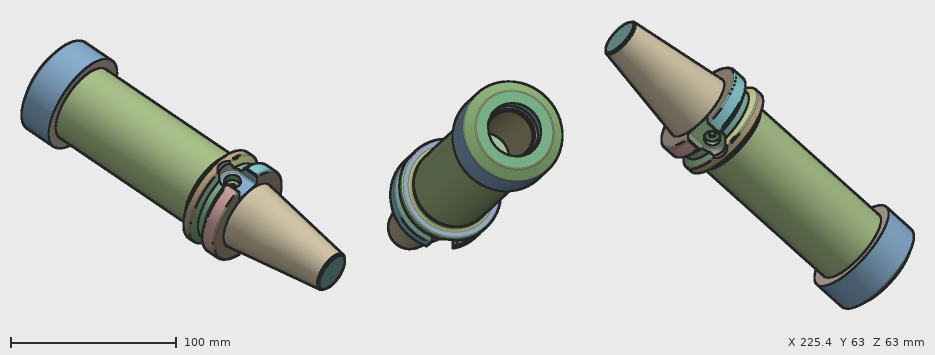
import cadquery as cq
import math


overall_length = 225.4
taper_length = 65.4
gauge_plane_x = overall_length - taper_length
flange_face_gap = 2.0
flange_width = 25.0
flange_back_x = gauge_plane_x - flange_face_gap
flange_front_x = flange_back_x - flange_width

nut_diameter = 63.0
nut_length = 25.7
nut_cone_diameter = 49.0
nut_cone_angle = 28.0
nut_face_rounding = 1.7
nut_edge_rounding = 1.0

mouth_diameter = 33.3
lip_diameter = 30.5
mouth_length = 6.7
lip_length = 1.4
cavity_diameter = 40.0
cavity_end_x = 10.0
bore_diameter = 29.0
bore_chamfer = (lip_diameter - bore_diameter) / 2
bore_end_x = 60.0

body_diameter = 50.0
body_groove_diameter = 49.8
body_groove_x = 129.1
body_groove_width = 1.4
flange_root_radius = 2.4

flange_diameter = 63.0
flange_rounding = 1.0
v_groove_diameter = 53.0
v_groove_distance = 16.7
v_groove_center_x = gauge_plane_x - v_groove_distance
v_groove_floor_width = 4.7
v_groove_front_angle = 25.0
v_groove_back_angle = 30.0

gauge_diameter = 44.45
taper_rate = 7 / 24
shank_end_chamfer = 1.0

slot_width = 16.1
slot_floor_z = 22.6
slot_end_center_x = 145.5
slot_floor_rounding = 0.8
slot_bevel_z = 29.9
slot_bevel_angle = 45.0
counterbore_diameter = 10.0
counterbore_depth = 5.0
pilot_diameter = 4.0
pilot_depth = 2.0
drill_point_angle = 118.0


def taper_radius(x):
    """Radius of the taper shank at a position along the axis."""
    return (gauge_diameter - taper_rate * (x - gauge_plane_x)) / 2


def revolve_outline(corners):
    """Revolve an outline of (x, radius, rounding) corners about the X axis."""
    outline = cq.Workplane("XY").moveTo(corners[0][0], corners[0][1])
    for before, corner, after in zip(corners, corners[1:], corners[2:]):
        point = cq.Vector(corner[0], corner[1])
        rounding = corner[2]
        if rounding == 0:
            outline = outline.lineTo(point.x, point.y)
            continue
        to_before = (cq.Vector(before[0], before[1]) - point).normalized()
        to_after = (cq.Vector(after[0], after[1]) - point).normalized()
        half_angle = to_before.getAngle(to_after) / 2
        tangent_length = rounding / math.tan(half_angle)
        arc_distance = rounding / math.sin(half_angle) - rounding
        start = point + to_before * tangent_length
        middle = point + (to_before + to_after).normalized() * arc_distance
        end = point + to_after * tangent_length
        outline = outline.lineTo(start.x, start.y)
        outline = outline.threePointArc((middle.x, middle.y), (end.x, end.y))
    outline = outline.lineTo(corners[-1][0], corners[-1][1]).close()
    return outline.revolve(360, (0, 0, 0), (1, 0, 0))


def make_outer_shape():
    """Nut, body, flange and taper shank as one solid of revolution."""
    nut_r = nut_diameter / 2
    nut_cone_r = nut_cone_diameter / 2
    nut_cone_length = (nut_r - nut_cone_r) * math.tan(math.radians(nut_cone_angle))
    body_r = body_diameter / 2
    body_groove_r = body_groove_diameter / 2
    body_groove_end_x = body_groove_x + body_groove_width
    flange_r = flange_diameter / 2
    v_groove_r = v_groove_diameter / 2
    v_depth = flange_r - v_groove_r
    v_front_run = v_depth * math.tan(math.radians(v_groove_front_angle))
    v_back_run = v_depth * math.tan(math.radians(v_groove_back_angle))
    v_floor_front_x = v_groove_center_x - v_groove_floor_width / 2
    v_floor_back_x = v_groove_center_x + v_groove_floor_width / 2
    shank_chamfer_x = overall_length - shank_end_chamfer
    return revolve_outline([
        (0, 0, 0),
        (0, nut_cone_r, nut_face_rounding),
        (nut_cone_length, nut_r, nut_edge_rounding),
        (nut_length, nut_r, 0),
        (nut_length, body_r, 0),
        (body_groove_x, body_r, 0),
        (body_groove_x, body_groove_r, 0),
        (body_groove_end_x, body_groove_r, 0),
        (body_groove_end_x, body_r, 0),
        (flange_front_x, body_r, flange_root_radius),
        (flange_front_x, flange_r, flange_rounding),
        (v_floor_front_x - v_front_run, flange_r, flange_rounding),
        (v_floor_front_x, v_groove_r, 0),
        (v_floor_back_x, v_groove_r, 0),
        (v_floor_back_x + v_back_run, flange_r, flange_rounding),
        (flange_back_x, flange_r, flange_rounding),
        (flange_back_x, taper_radius(flange_back_x), 0),
        (shank_chamfer_x, taper_radius(shank_chamfer_x), 0),
        (overall_length, taper_radius(shank_chamfer_x) - shank_end_chamfer, 0),
        (overall_length, 0, 0),
    ])


def make_bore():
    """Stepped blind bore that opens through the nut face."""
    lip_r = lip_diameter / 2
    lip_end_x = mouth_length + lip_length
    bore_r = bore_diameter / 2
    return revolve_outline([
        (0, 0, 0),
        (0, mouth_diameter / 2, 0),
        (mouth_length, mouth_diameter / 2, 0),
        (lip_end_x, lip_r, 0),
        (lip_end_x, cavity_diameter / 2, 0),
        (cavity_end_x, cavity_diameter / 2, 0),
        (cavity_end_x, bore_r + bore_chamfer, 0),
        (cavity_end_x + bore_chamfer, bore_r, 0),
        (bore_end_x, bore_r, 0),
        (bore_end_x, 0, 0),
    ])


def slot_outline(z):
    """Round-ended slot outline at a height, running out past the shank."""
    half_width = slot_width / 2
    open_length = overall_length - slot_end_center_x
    return (
        cq.Workplane("XY", origin=(slot_end_center_x, 0, z))
        .moveTo(open_length, -half_width)
        .lineTo(0, -half_width)
        .threePointArc((-half_width, 0), (0, half_width))
        .lineTo(open_length, half_width)
        .close()
    )


def make_drive_slot():
    """Slot with a rounded floor and bevelled rim, and a stepped hole in its floor."""
    top_z = flange_diameter / 2
    slot = slot_outline(slot_floor_z).extrude(top_z - slot_floor_z)
    slot = slot.edges("<Z exc >X").fillet(slot_floor_rounding)
    bevel = slot_outline(slot_bevel_z).extrude(top_z - slot_bevel_z, taper=-slot_bevel_angle)
    floor = cq.Workplane("XY", origin=(slot_end_center_x, 0, slot_floor_z))
    counterbore = floor.circle(counterbore_diameter / 2).extrude(-counterbore_depth)
    pilot_r = pilot_diameter / 2
    point_length = pilot_r / math.tan(math.radians(drill_point_angle / 2))
    pilot_floor = floor.workplane(offset=-counterbore_depth)
    pilot = pilot_floor.circle(pilot_r).extrude(-pilot_depth)
    point = cq.Workplane(cq.Solid.makeCone(
        pilot_r, 0, point_length,
        cq.Vector(slot_end_center_x, 0, slot_floor_z - counterbore_depth - pilot_depth),
        cq.Vector(0, 0, -1),
    ))
    return slot.union(bevel).union(counterbore).union(pilot).union(point)


top_slot = make_drive_slot()
bottom_slot = top_slot.rotate((0, 0, 0), (1, 0, 0), 180)
result = make_outer_shape().cut(make_bore()).cut(top_slot).cut(bottom_slot)